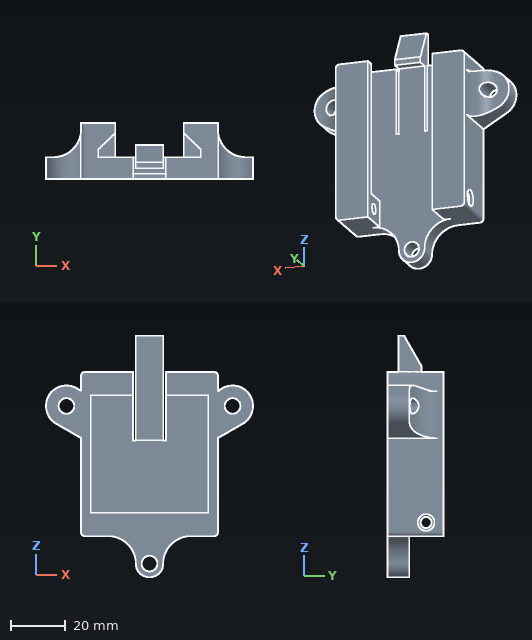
import cadquery as cq
import math

body_width = 50.0
body_depth = 20.5
body_height = 60.0
corner_radius = 1.5

overall_width = 75.6
lug_thickness = 8.0
screw_hole_diameter = 5.65
ear_radius = 7.5
ear_x = overall_width / 2 - ear_radius
ear_z = 47.5
ear_slope = math.radians(30)
cove_radius = 10.0
tab_radius = 5.0
tab_drop = 10.0

channel_floor = lug_thickness
channel_mouth_width = 25.0
channel_floor_width = 37.3
channel_wall_top = 10.85
channel_slope_top = 16.8
undercut_bottom = 10.05

recess_size = 42.9
recess_bottom = 8.6
recess_depth = 1.9

slot_width = 12.0
slot_bottom = 35.0
latch_width = 10.05
latch_front = 4.0
latch_tip_back = 6.1
hook_back = 12.4
latch_top = 73.2
hook_shoulder = 62.1
hook_bottom = body_height

cross_hole_y = 14.1
cross_hole_z = 5.0
cross_hole_diameter = 4.0
countersink_diameter = 6.1
countersink_depth = (countersink_diameter - cross_hole_diameter) / 2

half_width = body_width / 2


def box(width, y_start, y_end, z_start, z_end):
    """Block centred on x = 0."""
    size = (width, y_end - y_start, z_end - z_start)
    return cq.Workplane("XY").box(*size, centered=(True, False, False)).translate((0, y_start, z_start))


def front_cylinder(x, z, diameter, depth):
    """Cylinder running back from the front face."""
    return cq.Workplane("XZ").center(x, z).circle(diameter / 2).extrude(-depth)


def make_ear(straight_top):
    """Ear on the +X side: round end, sloped underside, and a cove sweeping up to the block side.

    The top edge meets the block along the round end, or along a tangent line if straight_top is set.
    """
    tangent_x = ear_x + ear_radius * math.sin(ear_slope)
    tangent_z = ear_z - ear_radius * math.cos(ear_slope)
    side_low_z = tangent_z - (tangent_x - half_width) * math.tan(ear_slope)
    if straight_top:
        arc_end_x = ear_x - ear_radius * math.sin(ear_slope)
        arc_end_z = ear_z + ear_radius * math.cos(ear_slope)
        side_high_z = arc_end_z - (arc_end_x - half_width) * math.tan(ear_slope)
    else:
        arc_end_x = half_width
        arc_end_z = ear_z + math.sqrt(ear_radius**2 - (ear_x - half_width) ** 2)
        side_high_z = arc_end_z
    cove_top = lug_thickness + cove_radius
    outline = (
        cq.Workplane("XZ")
        .moveTo(0, side_low_z)
        .lineTo(half_width, side_low_z)
        .lineTo(tangent_x, tangent_z)
        .threePointArc(
            (ear_x + ear_radius * math.cos(ear_slope), ear_z + ear_radius * math.sin(ear_slope)),
            (arc_end_x, arc_end_z),
        )
    )
    if straight_top:
        outline = outline.lineTo(half_width, side_high_z)
    ear = outline.lineTo(0, side_high_z).close().extrude(-cove_top)
    cove_end_x = half_width + cove_radius
    ear_end_x = ear_x + ear_radius
    arc_step = cove_radius * math.sqrt(0.5)
    cove_profile = (
        cq.Workplane("XY")
        .lineTo(ear_end_x, 0)
        .lineTo(ear_end_x, lug_thickness)
        .lineTo(cove_end_x, lug_thickness)
        .threePointArc((cove_end_x - arc_step, cove_top - arc_step), (half_width, cove_top))
        .lineTo(0, cove_top)
        .close()
        .extrude(body_height)
    )
    return ear.intersect(cove_profile)


def make_tab():
    """Bottom lug blending into the block with a concave arc on each side."""
    arc_x = tab_radius + tab_drop
    arc_step = tab_drop * math.sqrt(0.5)
    return (
        cq.Workplane("XZ")
        .moveTo(-arc_x, 0)
        .threePointArc((-arc_x + arc_step, -tab_drop + arc_step), (-tab_radius, -tab_drop))
        .threePointArc((0, -tab_drop - tab_radius), (tab_radius, -tab_drop))
        .threePointArc((arc_x - arc_step, -tab_drop + arc_step), (arc_x, 0))
        .lineTo(arc_x, corner_radius)
        .lineTo(-arc_x, corner_radius)
        .close()
        .extrude(-lug_thickness)
    )


def make_channel():
    """Mouth open at both ends, with side undercuts that stop above the block's lower end."""
    half_mouth = channel_mouth_width / 2
    half_floor = channel_floor_width / 2
    mouth = box(channel_mouth_width, channel_floor, body_depth, 0, body_height)
    undercut = (
        cq.Workplane("XY", origin=(0, 0, undercut_bottom))
        .polyline([
            (-half_floor, channel_floor),
            (half_floor, channel_floor),
            (half_floor, channel_wall_top),
            (half_mouth, channel_slope_top),
            (-half_mouth, channel_slope_top),
            (-half_floor, channel_wall_top),
        ])
        .close()
        .extrude(body_height - undercut_bottom)
    )
    return mouth.union(undercut)


def make_latch():
    """Flat tongue rising from the slot bottom, with a sloped hook at its tip."""
    return (
        cq.Workplane("YZ")
        .polyline([
            (latch_front, slot_bottom),
            (latch_front, latch_top),
            (latch_tip_back, latch_top),
            (hook_back, hook_shoulder),
            (hook_back, hook_bottom),
            (channel_floor, hook_bottom),
            (channel_floor, slot_bottom),
        ])
        .close()
        .extrude(latch_width / 2, both=True)
    )


def make_cross_hole():
    """Through hole along X, countersunk at both outer sides."""
    plane = cq.Workplane("YZ").center(cross_hole_y, cross_hole_z)
    hole = plane.circle(cross_hole_diameter / 2).extrude(half_width, both=True)
    countersink = (
        plane.workplane(offset=half_width - countersink_depth)
        .circle(cross_hole_diameter / 2)
        .workplane(offset=countersink_depth)
        .circle(countersink_diameter / 2)
        .loft()
    )
    return hole.union(countersink).union(countersink.mirror("YZ"))


block = box(body_width, 0, body_depth, 0, body_height).edges("|Y").fillet(corner_radius)
right_ear = make_ear(straight_top=False)
left_ear = make_ear(straight_top=True).mirror("YZ")
result = block.union(right_ear).union(left_ear).union(make_tab())

result = result.cut(make_channel())
result = result.cut(box(recess_size, 0, recess_depth, recess_bottom, recess_bottom + recess_size))
result = result.cut(box(slot_width, 0, channel_floor, slot_bottom, body_height))
result = result.union(make_latch())

for hole_x, hole_z in [(-ear_x, ear_z), (ear_x, ear_z), (0, -tab_drop)]:
    hole_depth = lug_thickness if hole_x == 0 else body_depth
    result = result.cut(front_cylinder(hole_x, hole_z, screw_hole_diameter, hole_depth))
result = result.cut(make_cross_hole())